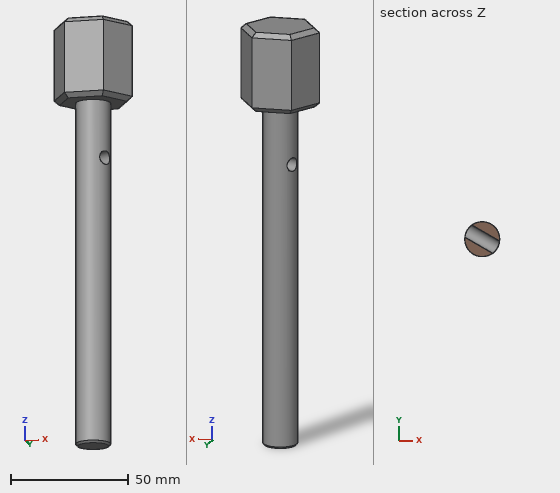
import cadquery as cq
import math

TOTAL_LENGTH = 185.0

HEAD_SIDES = 6
HEAD_ACROSS_FLATS = 30.0
HEAD_HEIGHT = 35.0
HEAD_CHAMFER = 2.0

SHANK_DIAMETER = 15.0
SHANK_CHAMFER = 1.0

HOLE_DIAMETER = 6.0
HOLE_BELOW_HEAD = 25.0
HOLE_ANGLE = -180 / HEAD_SIDES

head_bottom = TOTAL_LENGTH - HEAD_HEIGHT


def make_head():
    across_corners = HEAD_ACROSS_FLATS / math.cos(math.pi / HEAD_SIDES)
    return (
        cq.Workplane("XY")
        .workplane(offset=head_bottom)
        .polygon(HEAD_SIDES, across_corners)
        .extrude(HEAD_HEIGHT)
        .faces("|Z")
        .chamfer(HEAD_CHAMFER)
    )


def make_shank():
    return (
        cq.Workplane("XY")
        .circle(SHANK_DIAMETER / 2)
        .extrude(head_bottom)
        .faces("<Z")
        .chamfer(SHANK_CHAMFER)
    )


def make_cross_hole():
    return (
        cq.Workplane("YZ")
        .center(0, head_bottom - HOLE_BELOW_HEAD)
        .circle(HOLE_DIAMETER / 2)
        .extrude(SHANK_DIAMETER, both=True)
        .rotate((0, 0, 0), (0, 0, 1), HOLE_ANGLE)
    )


result = make_head().union(make_shank()).cut(make_cross_hole())